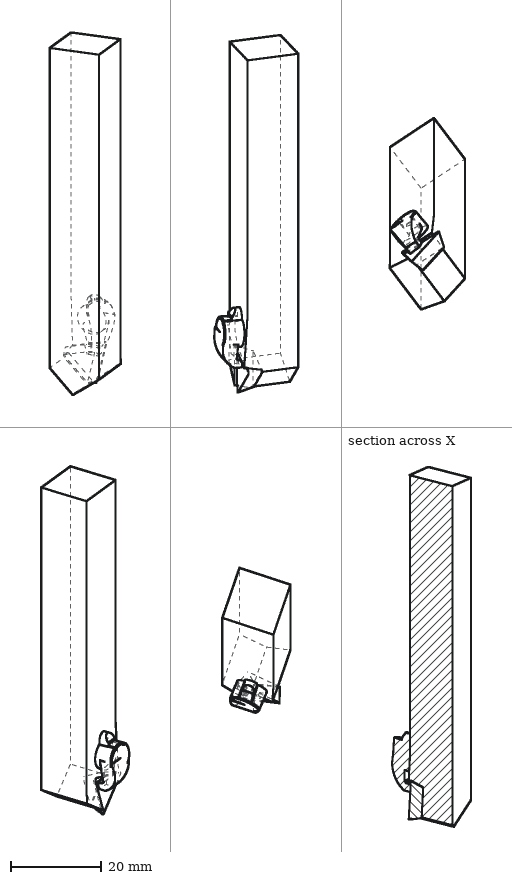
import cadquery as cq
import math

SHANK_WIDTH = 12.0
TOP_Z = 81.4
LEFT_CORNER_Z = 6.5
RIGHT_CORNER_Z = 5.4
POINT_X = 5.6
POINT_Z = 0.9

RAKE_ANGLE = 5.0
HEAD_START_Z = 20.3
HEAD_STOCK = 2.45

INSERT_SIDE = 11.0
INSERT_THICKNESS = 3.5
RELIEF_ANGLE = 11.0
NOSE_RADIUS = 0.4
STEEP_EDGE = 0.5
EDGE_MIDDLE = (1.95, 12.3, 3.5)
POCKET_CLEARANCE_HEIGHT = 4.1

CLAMP_X = 5.2
CLAMP_Z = 15.1
CLAMP_RADIUS = 3.5
CLAMP_TOP = 16.6
CLAMP_EDGE_CHAMFER = 0.25
GROOVES_OUTER_WIDTH = 3.8
GROOVE_BOTTOM = 2.6
TONGUE_WIDTH = 2.8
TONGUE_TOP = 14.2
TONGUE_END_Z = 20.4
BEAK_TOP = 16.9
BEAK_TIP_Z = 6.6
BEAK_SEAT_DEPTH = 0.4
BEAK_FLANK_ANGLE = 15.0

lean = math.tan(math.radians(RAKE_ANGLE)) / math.sqrt(2)
FACE_NORMAL = (lean, 1, lean)
EDGE_DIRECTION = (-1, 0, 1)


def face_plane(origin):
    """Plane parallel to the raked faces; local x follows the cutting edge, local y points inwards."""
    return cq.Plane(origin=origin, xDir=EDGE_DIRECTION, normal=FACE_NORMAL)


def bar(depth):
    """Shank outline extruded from y = 0 to the given depth."""
    return (
        cq.Workplane("XZ")
        .moveTo(0, TOP_Z)
        .lineTo(0, LEFT_CORNER_Z)
        .lineTo(POINT_X, POINT_Z)
        .lineTo(SHANK_WIDTH, RIGHT_CORNER_Z)
        .lineTo(SHANK_WIDTH, TOP_Z)
        .close()
        .extrude(-depth)
    )


def make_insert():
    """Triangular plate with rounded corners, narrowing downwards from its top face."""
    height = INSERT_SIDE * math.sqrt(3) / 2
    half_side = INSERT_SIDE / 2
    triangle = [(-half_side, 0), (half_side, 0), (0, height)]
    plate = cq.Workplane(face_plane(EDGE_MIDDLE)).polyline(triangle).close()
    blank = plate.extrude(-INSERT_THICKNESS, taper=RELIEF_ANGLE)
    normal = cq.Vector(*FACE_NORMAL).normalized()
    corners = [
        edge
        for edge in blank.edges().vals()
        if abs(edge.tangentAt(0.5).dot(normal)) > STEEP_EDGE
    ]
    return blank.newObject(corners).fillet(NOSE_RADIUS)


def make_shank(insert):
    """Bar with its raised head, and a pocket that fits the insert and opens above it."""
    head_plane = face_plane((0, SHANK_WIDTH, HEAD_START_Z))
    above_head = cq.Workplane(head_plane).rect(4 * TOP_Z, 4 * TOP_Z).extrude(TOP_Z)
    raised_head = bar(SHANK_WIDTH + HEAD_STOCK).cut(above_head)
    top_face = insert.faces(cq.selectors.DirectionMinMaxSelector(cq.Vector(*FACE_NORMAL), True))
    opening = top_face.wires().toPending().workplane().extrude(POCKET_CLEARANCE_HEIGHT, combine=False)
    return bar(SHANK_WIDTH).union(raised_head).cut(insert).cut(opening)


def clamp_slab(start):
    """YZ sketch at the side of a slab as wide as the clamp body, beginning at the given (y, z)."""
    return cq.Workplane("YZ", origin=(CLAMP_X - CLAMP_RADIUS, 0, 0)).moveTo(*start)


def clamp_plan():
    """XZ workplane centred on the clamp, for outlines extruded through its full height."""
    return cq.Workplane("XZ", origin=(CLAMP_X, 0, CLAMP_Z))


def make_clamp_body():
    """Disc square to the head face, with two V-grooves down its back."""
    clamp_plane = face_plane((CLAMP_X, CLAMP_TOP, CLAMP_Z))
    disc = cq.Workplane(clamp_plane).circle(CLAMP_RADIUS).extrude(SHANK_WIDTH - CLAMP_TOP)
    disc = disc.faces(">Y").edges().chamfer(CLAMP_EDGE_CHAMFER)
    for side in (-1, 1):
        groove = (
            clamp_plan()
            .polyline([
                (side * TONGUE_WIDTH / 2, CLAMP_RADIUS),
                (side * TONGUE_WIDTH / 2, GROOVE_BOTTOM),
                (side * GROOVES_OUTER_WIDTH / 2, CLAMP_RADIUS),
            ])
            .close()
            .extrude(-2 * CLAMP_TOP)
        )
        disc = disc.cut(groove)
    return disc


def make_tongue():
    """Round-ended tongue at the back of the clamp, with a sloping end."""
    profile = (
        clamp_slab((SHANK_WIDTH, CLAMP_Z))
        .lineTo(SHANK_WIDTH, TONGUE_END_Z)
        .lineTo(13.1, TONGUE_END_Z)
        .lineTo(TONGUE_TOP, 18.9)
        .lineTo(TONGUE_TOP, CLAMP_Z)
        .close()
        .extrude(2 * CLAMP_RADIUS)
    )
    half_width = TONGUE_WIDTH / 2
    length = TONGUE_END_Z - CLAMP_Z
    outline = (
        clamp_plan()
        .moveTo(-half_width, 0)
        .lineTo(-half_width, length - half_width)
        .threePointArc((0, length), (half_width, length - half_width))
        .lineTo(half_width, 0)
        .close()
        .extrude(-2 * CLAMP_TOP)
    )
    return profile.intersect(outline)


def make_beak():
    """Hooked beak that narrows towards its tip."""
    profile = (
        clamp_slab((CLAMP_TOP, CLAMP_Z))
        .lineTo(BEAK_TOP, 12.6)
        .threePointArc((16.2, 9.35), (13.5, BEAK_TIP_Z))
        .lineTo(SHANK_WIDTH - BEAK_SEAT_DEPTH, BEAK_TIP_Z)
        .lineTo(SHANK_WIDTH - BEAK_SEAT_DEPTH, 8.55)
        .lineTo(12.9, 8.55)
        .lineTo(13.35, 8.95)
        .lineTo(13.35, CLAMP_Z)
        .close()
        .extrude(2 * CLAMP_RADIUS)
    )
    angle = math.radians(BEAK_FLANK_ANGLE)
    root_x = CLAMP_RADIUS * math.cos(angle)
    root_z = -CLAMP_RADIUS * math.sin(angle)
    tip_z = BEAK_TIP_Z - CLAMP_Z
    tip_x = root_x - (root_z - tip_z) * math.tan(angle)
    outline = (
        clamp_plan()
        .moveTo(-root_x, 0)
        .lineTo(-root_x, root_z)
        .lineTo(-tip_x, tip_z)
        .lineTo(tip_x, tip_z)
        .lineTo(root_x, root_z)
        .lineTo(root_x, 0)
        .close()
        .extrude(-2 * CLAMP_TOP)
    )
    return profile.intersect(outline)


def make_clamp(shank, insert):
    """Clamp body, tongue and beak in one piece, fitted to the shank and the insert."""
    clamp = make_clamp_body().union(make_tongue()).union(make_beak())
    return clamp.cut(shank).cut(insert)


insert = make_insert()
shank = make_shank(insert)
clamp = make_clamp(shank, insert)
result = cq.Compound.makeCompound([shank.val(), insert.val(), clamp.val()])